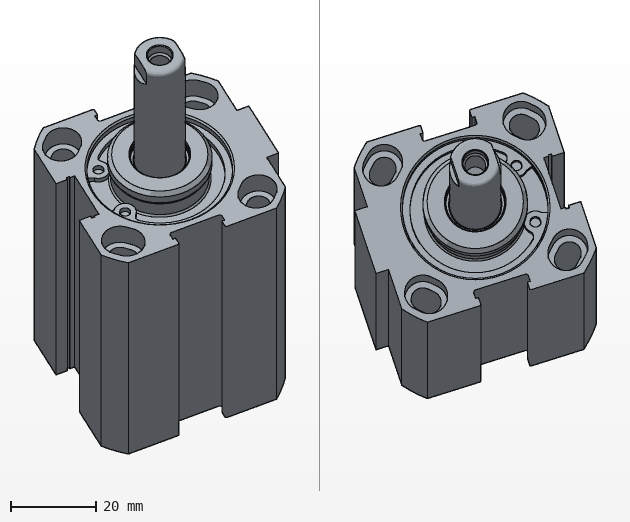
import cadquery as cq
import math


total_height = 110.5
housing_height = 69.5

housing_width = 46.0
housing_depth = 48.0
corner_round_diameter = 60.0
rib_width = 16.0
rib_height = 3.1

side_slot_mouth_width = 12.0
side_slot_inner_width = 13.5
side_slot_lip = 2.0
side_slot_depth = 4.0
side_slot_floor_fillet = 0.7
side_slot_mouth_fillet = 0.3

front_slot_mouth_width = 12.5
front_slot_groove_width = 13.7
front_slot_inner_width = 13.0
front_slot_lip = 3.0
front_slot_groove_end = 3.8
front_slot_depth = 5.0

mount_x = 16.5
mount_y = 17.5
mount_stretch = 1.7
mount_hole_width = 5.5
mount_counterbore_width = 8.6
mount_counterbore_depth = 5.9

bore_diameter = 34.1
bore_mouth_chamfer = 0.4
ring_outer_diameter = 35.8
ring_inner_diameter = 30.6
ring_thickness = 1.3
ring_recess = 1.9
ring_end_angle = 20.4
eyelet_x = 7.2
eyelet_y = -12.5
eyelet_radius = 2.7
eyelet_hole_diameter = 2.5
eyelet_blend_radius = 1.3

guide_flange_height = 13.3
hub_height = 5.0
hub_diameter = 24.5
hub_neck_diameter = 23.2
hub_groove_diameter = 22.8
hub_underside_height = 1.2
hub_foot_chamfer = 0.4
hub_rim_height = 2.1
hub_top_chamfer = 1.0
seal_mouth_diameter = 14.0
seal_mouth_chamfer = 0.2
seal_mouth_depth = 0.8
seal_recess_diameter = 13.7
seal_recess_depth = 1.7
rod_relief_diameter = 12.5
rod_relief_depth = 2.2

rod_diameter = 12.0
rod_end_fillet = 1.1
flat_width = 10.1
flat_length = 4.4
rod_mouth_diameter = 6.3
rod_mouth_chamfer = 0.2
rod_counterbore_depth = 2.5
rod_hole_diameter = 4.9
rod_hole_depth = 13.3
drill_point_angle = 118.0

ring_top = housing_height - ring_recess
ring_bottom = ring_top - ring_thickness
flange_top = ring_bottom - hub_foot_chamfer
guide_bottom = flange_top - guide_flange_height
hub_top = housing_height + hub_height


def cylinder(diameter, bottom, top):
    return cq.Workplane("XY").workplane(offset=bottom).circle(diameter / 2).extrude(top - bottom)


def revolve_profile(points):
    """Turn a closed outline of (radius, height) points around the Z axis."""
    return cq.Workplane("XZ").polyline(points).close().revolve(360, (0, 0, 0), (0, 1, 0))


def housing_block():
    """Square profile with corners rounded about the bore axis, and a rib on the +Y face."""
    block = cq.Workplane("XY").rect(housing_width, housing_depth).extrude(housing_height)
    block = block.intersect(cylinder(corner_round_diameter, 0, housing_height))
    rib_top = housing_depth / 2 + rib_height
    rib = cq.Workplane("XY").center(0, rib_top / 2).rect(rib_width, rib_top).extrude(housing_height)
    return block.union(rib)


def side_slot(side):
    """Undercut slot along a side face; side is +1 for +X and -1 for -X."""
    face = housing_width / 2
    mouth_half = side_slot_mouth_width / 2
    flare_half = mouth_half + side_slot_mouth_fillet
    flare_x = face - side_slot_mouth_fillet
    arc_x = flare_x + side_slot_mouth_fillet * math.sqrt(0.5)
    arc_y = flare_half - side_slot_mouth_fillet * math.sqrt(0.5)
    lip_x = face - side_slot_lip
    mouth = (
        cq.Workplane("XY")
        .moveTo(lip_x, -mouth_half)
        .lineTo(flare_x, -mouth_half)
        .threePointArc((arc_x, -arc_y), (face, -flare_half))
        .lineTo(face, flare_half)
        .threePointArc((arc_x, arc_y), (flare_x, mouth_half))
        .lineTo(lip_x, mouth_half)
        .close()
        .extrude(housing_height)
    )
    inner_depth = side_slot_depth - side_slot_lip
    inner = (
        cq.Workplane("XY")
        .center(lip_x - inner_depth / 2, 0)
        .rect(inner_depth, side_slot_inner_width)
        .extrude(housing_height)
        .edges("|Z and <X")
        .fillet(side_slot_floor_fillet)
    )
    slot = mouth.union(inner)
    return slot if side > 0 else slot.mirror("YZ")


def front_slot():
    """Slot along the -Y face, with a shallow groove behind each lip."""
    face_y = -housing_depth / 2
    levels = [
        (front_slot_mouth_width, 0, front_slot_lip),
        (front_slot_groove_width, front_slot_lip, front_slot_groove_end),
        (front_slot_inner_width, front_slot_groove_end, front_slot_depth),
    ]
    slot = cq.Workplane("XY")
    for width, start, end in levels:
        step = cq.Workplane("XY").center(0, face_y + (start + end) / 2)
        slot = slot.union(step.rect(width, end - start).extrude(housing_height))
    return slot


def mounting_hole(side_x, side_y):
    """Stretched hole with a counterbore, in the corner given by two signs."""
    angle = -45 * side_x * side_y

    def slot(width, bottom):
        return (
            cq.Workplane("XY")
            .workplane(offset=bottom)
            .center(side_x * mount_x, side_y * mount_y)
            .slot2D(width + mount_stretch, width, angle)
            .extrude(housing_height - bottom)
        )

    counterbore_floor = housing_height - mount_counterbore_depth
    return slot(mount_hole_width, 0).union(slot(mount_counterbore_width, counterbore_floor))


def guide_bore():
    """Blind bore with a chamfered mouth and the snap ring groove."""
    bore = bore_diameter / 2
    groove = ring_outer_diameter / 2
    return revolve_profile([
        (0, guide_bottom),
        (bore, guide_bottom),
        (bore, ring_bottom),
        (groove, ring_bottom),
        (groove, ring_top),
        (bore, ring_top),
        (bore, housing_height - bore_mouth_chamfer),
        (bore + bore_mouth_chamfer, housing_height),
        (0, housing_height),
    ])


def make_housing():
    body = housing_block().cut(front_slot()).cut(guide_bore())
    for side_x in (-1, 1):
        body = body.cut(side_slot(side_x))
        for side_y in (-1, 1):
            body = body.cut(mounting_hole(side_x, side_y))
    return body


def make_rod_guide():
    """Flange filling the bore, a neck through the snap ring and a grooved, chamfered hub on top."""
    flange = bore_diameter / 2
    neck = hub_neck_diameter / 2
    groove = hub_groove_diameter / 2
    hub = hub_diameter / 2
    rod_bore = rod_diameter / 2
    relief = rod_relief_diameter / 2
    recess = seal_recess_diameter / 2
    mouth = seal_mouth_diameter / 2
    rim_top = hub_top - hub_top_chamfer
    rim_bottom = rim_top - hub_rim_height
    groove_bottom = rim_bottom - hub_underside_height
    mouth_floor = hub_top - seal_mouth_depth
    recess_floor = hub_top - seal_recess_depth
    relief_floor = hub_top - rod_relief_depth
    return revolve_profile([
        (rod_bore, guide_bottom),
        (flange, guide_bottom),
        (flange, flange_top),
        (neck + hub_foot_chamfer, flange_top),
        (neck, flange_top + hub_foot_chamfer),
        (neck, groove_bottom),
        (groove, groove_bottom),
        (hub, rim_bottom),
        (hub, rim_top),
        (hub - hub_top_chamfer, hub_top),
        (mouth + seal_mouth_chamfer, hub_top),
        (mouth, hub_top - seal_mouth_chamfer),
        (mouth, mouth_floor),
        (recess, mouth_floor),
        (recess, recess_floor),
        (relief, recess_floor),
        (relief, relief_floor),
        (rod_bore, relief_floor),
    ])


def eyelet_discs(radius):
    """A disc as thick as the snap ring at the place of each eyelet."""
    centres = [(side * eyelet_x, eyelet_y) for side in (-1, 1)]
    plane = cq.Workplane("XY").workplane(offset=ring_bottom)
    return plane.pushPoints(centres).circle(radius).extrude(ring_thickness)


def make_snap_ring():
    """Open ring with a blended eyelet at each end of its gap."""
    outer = ring_outer_diameter / 2
    inner = ring_inner_diameter / 2
    ring = cylinder(ring_outer_diameter, ring_bottom, ring_top)
    ring = ring.cut(cylinder(ring_inner_diameter, ring_bottom, ring_top))
    gap_reach = 2 * outer
    gap_half_width = gap_reach * math.tan(math.radians(ring_end_angle))
    gap = (
        cq.Workplane("XY")
        .workplane(offset=ring_bottom)
        .polyline([(0, 0), (gap_half_width, -gap_reach), (-gap_half_width, -gap_reach)])
        .close()
        .extrude(ring_thickness)
    )
    ring = ring.cut(gap).union(eyelet_discs(eyelet_radius))

    eyelet_distance = math.hypot(eyelet_x, eyelet_y)
    along = (inner**2 + eyelet_distance**2 - eyelet_radius**2) / (2 * eyelet_distance)
    turn = math.acos(along / inner)
    corner_angle = math.atan2(eyelet_y, eyelet_x) + turn
    corner_x = inner * math.cos(corner_angle)
    corner_y = inner * math.sin(corner_angle)
    middle = (ring_bottom + ring_top) / 2
    for side in (-1, 1):
        corner = cq.selectors.NearestToPointSelector((side * corner_x, corner_y, middle))
        ring = ring.edges("|Z").edges(corner).fillet(eyelet_blend_radius)

    return ring.cut(eyelet_discs(eyelet_hole_diameter / 2))


def wrench_flat():
    """Material beyond the flat on the +Y side, ending in a 45 degree run-out."""
    flat = flat_width / 2
    beyond = rod_diameter
    flat_end = total_height - flat_length
    return (
        cq.Workplane("YZ")
        .polyline([
            (flat, total_height),
            (flat, flat_end),
            (beyond, flat_end - (beyond - flat)),
            (beyond, total_height),
        ])
        .close()
        .extrude(rod_diameter, both=True)
    )


def rod_end_hole():
    """Chamfered counterbore leading through a cone to a drilled hole with a conical end."""
    mouth = rod_mouth_diameter / 2
    counterbore = mouth - rod_mouth_chamfer
    hole = rod_hole_diameter / 2
    counterbore_floor = total_height - rod_counterbore_depth
    hole_bottom = total_height - rod_hole_depth
    point_height = hole / math.tan(math.radians(drill_point_angle / 2))
    return revolve_profile([
        (0, hole_bottom - point_height),
        (hole, hole_bottom),
        (hole, counterbore_floor - (counterbore - hole)),
        (counterbore, counterbore_floor),
        (counterbore, total_height - rod_mouth_chamfer),
        (mouth, total_height),
        (0, total_height),
    ])


def make_rod():
    shaft = cylinder(rod_diameter, guide_bottom, total_height).faces(">Z").edges().fillet(rod_end_fillet)
    flat = wrench_flat()
    return shaft.cut(flat).cut(flat.mirror("XZ")).cut(rod_end_hole())


housing = make_housing()
rod_guide = make_rod_guide()
snap_ring = make_snap_ring()
rod = make_rod()

result = cq.Compound.makeCompound([housing.val(), rod_guide.val(), snap_ring.val(), rod.val()])